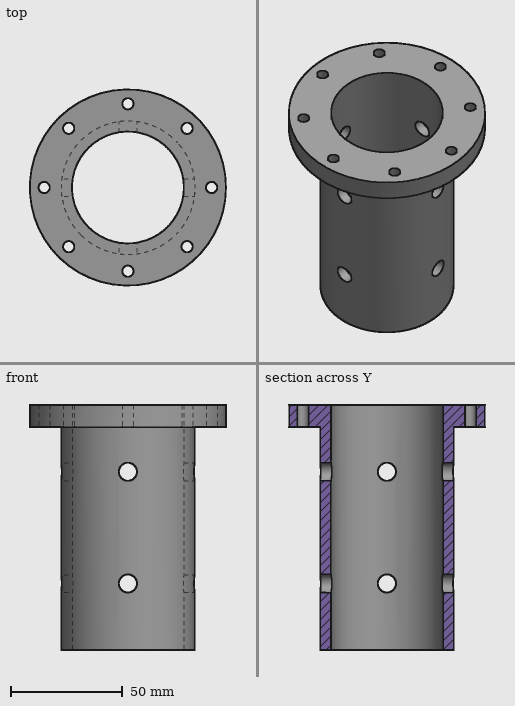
import cadquery as cq

total_height = 110.0
flange_diameter = 88.0
flange_thickness = 10.0
tube_diameter = 60.0
bore_diameter = 50.0

bolt_hole_count = 8
bolt_hole_diameter = 5.0
bolt_circle_diameter = 75.0

cross_hole_diameter = 8.0
upper_row_depth = 30.0
row_spacing = 50.0
upper_row_height = total_height - upper_row_depth
row_heights = [upper_row_height, upper_row_height - row_spacing]


def flanged_tube():
    """Tube standing on Z = 0 with a flange at its top and a bore right through."""
    tube = cq.Workplane("XY").circle(tube_diameter / 2).extrude(total_height)
    flange = (
        cq.Workplane("XY", origin=(0, 0, total_height - flange_thickness))
        .circle(flange_diameter / 2)
        .extrude(flange_thickness)
    )
    bore = cq.Workplane("XY").circle(bore_diameter / 2).extrude(total_height)
    return tube.union(flange).cut(bore)


def bolt_holes():
    """Ring of cylinders that pierce the flange."""
    return (
        cq.Workplane("XY", origin=(0, 0, total_height - flange_thickness))
        .polarArray(bolt_circle_diameter / 2, 0, 360, bolt_hole_count)
        .circle(bolt_hole_diameter / 2)
        .extrude(flange_thickness)
    )


def cross_hole(plane, height):
    """Cylinder that pierces both tube walls, square to the given plane."""
    return (
        cq.Workplane(plane, origin=(0, 0, height))
        .circle(cross_hole_diameter / 2)
        .extrude(tube_diameter / 2, both=True)
    )


result = flanged_tube().cut(bolt_holes())
for row_height in row_heights:
    for hole_plane in ("XZ", "YZ"):
        result = result.cut(cross_hole(hole_plane, row_height))